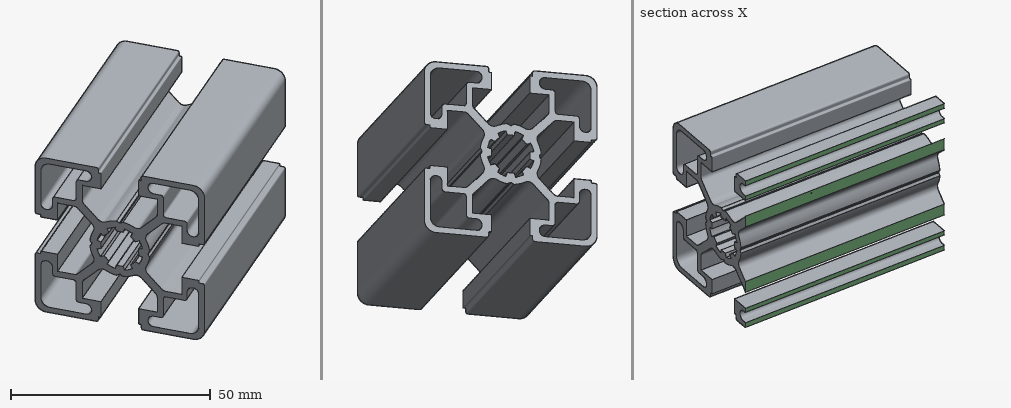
import cadquery as cq
import math

length = 60.0
half_width = 22.5
outer_radius = 3.0

mouth_half = 5.0
chamber_half = 9.95
lip_back = 16.5
lip_step = 0.7
lip_step_depth = 1.5
lip_round = 0.6
step_round = 0.25
mouth_round = 0.25

wall = 1.55
hollow_inner = 11.6
hollow_shelf = 17.9
hollow_end = 7.5
hollow_corner_radius = 2.4
hollow_roof_radius = 1.45
hollow_floor_radius = 1.55
hollow_shelf_radius = 0.8
hollow_inside_radius = 0.8

web_half = 1.15
web_corner_radius = 1.45
web_hub_radius = 1.8

hub_radius = 8.0
groove_half = 0.85
groove_floor = 7.5
groove_floor_half = 0.1
bore_radius = 6.1
tooth_tip = 5.0
tooth_tip_half = 0.9
tooth_root_half = 1.3
tooth_count = 8

quarters = 4


def rounded_prism(corners):
    """Extrude a closed outline of (x, z, radius) corners, each rounded by a tangent arc."""
    outline = None
    for i, (x, z, radius) in enumerate(corners):
        corner = cq.Vector(x, z)
        to_last = (cq.Vector(*corners[i - 1][:2]) - corner).normalized()
        to_next = (cq.Vector(*corners[(i + 1) % len(corners)][:2]) - corner).normalized()
        half_angle = to_last.getAngle(to_next) / 2
        setback = radius / math.tan(half_angle)
        bisector = (to_last + to_next).normalized()
        start = (corner + to_last * setback).toTuple()[:2]
        middle = (corner + bisector * (radius / math.sin(half_angle) - radius)).toTuple()[:2]
        end = (corner + to_next * setback).toTuple()[:2]
        if outline is None:
            outline = cq.Workplane("XZ").moveTo(*start)
        else:
            outline = outline.lineTo(*start)
        if radius > 0:
            outline = outline.threePointArc(middle, end)
    return outline.close().extrude(length / 2, both=True)


def mirrored_outline(half_outline):
    """Complete an outline that is symmetric about the diagonal x = z."""
    return half_outline + [(z, x, radius) for x, z, radius in reversed(half_outline)]


def around(shape, count):
    """Repeat a shape at equal angles about the profile axis and join the copies."""
    copies = shape
    for i in range(1, count):
        copies = copies.union(shape.rotate((0, 0, 0), (0, 1, 0), i * 360 / count))
    return copies


def corner_with_web():
    """One hollow corner with its two slot lips and the web that reaches into the hub."""
    web_offset = web_half * math.sqrt(2)
    web_root = (hub_radius + bore_radius) / 2
    root_x = (web_root * math.sqrt(2) - web_offset) / 2
    step_z = half_width - lip_step_depth
    outside = mirrored_outline([
        (root_x, root_x + web_offset, 0),
        (chamber_half, chamber_half + web_offset, web_corner_radius),
        (chamber_half, lip_back, 0),
        (mouth_half, lip_back, 0),
        (mouth_half, step_z, mouth_round),
        (mouth_half + lip_step, step_z, step_round),
        (mouth_half + lip_step, half_width, lip_round),
    ])
    outside.insert(len(outside) // 2, (half_width, half_width, outer_radius))

    roof = half_width - wall
    hollow = [(hollow_inner, hollow_inner, hollow_inside_radius)] + mirrored_outline([
        (hollow_inner, hollow_shelf, hollow_shelf_radius),
        (hollow_end, hollow_shelf, hollow_floor_radius),
        (hollow_end, roof, hollow_roof_radius),
    ])
    hollow.insert(len(hollow) // 2 + 1, (roof, roof, hollow_corner_radius))
    return rounded_prism(outside).cut(rounded_prism(hollow))


def blend_webs(body):
    """Fillet the eight edges where the sides of the webs meet the hub."""
    web_angle = math.pi / 4
    half_spread = math.asin(web_half / hub_radius)
    edges = body.edges("|Y")
    seams = []
    for i in range(quarters):
        for side in (-1, 1):
            angle = web_angle + i * 2 * math.pi / quarters + side * half_spread
            point = (hub_radius * math.cos(angle), 0, hub_radius * math.sin(angle))
            seams += edges.edges(cq.selectors.NearestToPointSelector(point)).vals()
    return body.newObject(seams).fillet(web_hub_radius)


def toothed_bore():
    """Round bore through the hub, less the teeth that point to its axis."""
    tooth = rounded_prism([
        (-tooth_tip_half, tooth_tip, 0),
        (tooth_tip_half, tooth_tip, 0),
        (tooth_root_half, bore_radius, 0),
        (-tooth_root_half, bore_radius, 0),
    ])
    bore = cq.Workplane("XZ").circle(bore_radius).extrude(length / 2, both=True)
    return bore.cut(around(tooth, tooth_count))


def hub_grooves():
    """Shallow V grooves with a narrow flat floor along the hub, one facing each slot."""
    edge = math.sqrt(hub_radius**2 - groove_half**2)
    groove = rounded_prism([
        (-groove_floor_half, groove_floor, 0),
        (groove_floor_half, groove_floor, 0),
        (groove_half, edge, 0),
        (groove_half, hub_radius, 0),
        (-groove_half, hub_radius, 0),
        (-groove_half, edge, 0),
    ])
    return around(groove, quarters)


hub = cq.Workplane("XZ").circle(hub_radius).extrude(length / 2, both=True)
profile = blend_webs(hub.union(around(corner_with_web(), quarters)))
result = profile.cut(toothed_bore()).cut(hub_grooves())